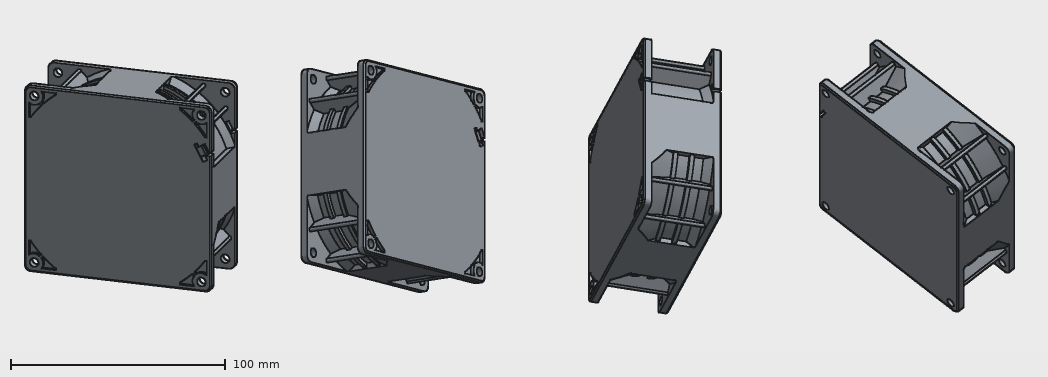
import cadquery as cq
import math

SIDE = 92.0
DEPTH = 38.0
HALF_SIDE = SIDE / 2
HALF_DEPTH = DEPTH / 2
FLANGE_THICKNESS = 4.05
CORNER_RADIUS = 3.0
EDGE_CHAMFER = 0.7
FRONT_INNER = -HALF_DEPTH + FLANGE_THICKNESS
BACK_INNER = HALF_DEPTH - FLANGE_THICKNESS

BAND_HALF_WIDTH = 14.9
DRUM_RADIUS = 45.8
FRONT_CONE_RADIUS = 51.5
BACK_CONE_RADIUS = 48.7
FRONT_CONE_TOP = -2.1
BACK_CONE_TOP = 10.8
RIB_RADIUS = 47.7
RIB_WIDTH = 2.1
RIB_FRONT_EDGES = (-4.1, 3.9)

FIN_THICKNESS = 1.6
FIN_BEAD_DIAMETER = 1.9
FIN_FAR = 43.3
FIN_NEAR = 30.6
FIN_LENGTH = 12.9
CABLE_FIN_X = 41.6
CABLE_FIN_Z = 33.4

HOLE_SPACING = 82.4
HOLE_DIAMETER = 4.2
POCKET_DEPTH = 1.8
POCKET_OUTER = 43.8
POCKET_INNER = 30.5
POCKET_DISC_RADIUS = 52.7
HOLE_BOSS_RADIUS = 4.4
DIAGONAL_WALL = 1.2

CABLE_ANGLE = 62.0
SEAT_X = 37.7
SEAT_Z = 26.3
SEAT_END = 9.1
UPPER_RAMP_END = 1.75
UPPER_RAMP_WIDTH = 1.4
LOWER_RAMP_START = 6.6
LOWER_RAMP_WIDTH = 2.4
RAMP_DEPTH = 1.4
SLOT_START = 1.7
SLOT_END = 6.4
SLOT_NEAR = 3.6
SLOT_FAR = 5.1
SLOT_CHAMFER = 0.7
BRIDGE_RECESS = 0.4
MOUTH_BOTTOM = 21.4
MOUTH_TOP = 23.2


def box(x_min, x_max, y_min, y_max, z_min, z_max):
    size = (x_max - x_min, y_max - y_min, z_max - z_min)
    return cq.Workplane("XY").box(*size, centered=False).translate((x_min, y_min, z_min))


def prism(points, y_min, y_max):
    """Polygon in X and Z, extruded along Y."""
    plane = cq.Workplane("XZ", origin=(0, y_min, 0))
    return plane.polyline(points).close().extrude(y_min - y_max)


def cylinder(radius, y_min, y_max, x=0, z=0):
    plane = cq.Workplane("XZ", origin=(0, y_min, 0))
    return plane.center(x, z).circle(radius).extrude(y_min - y_max)


def at_four_corners(solid):
    """Copies of a +X +Z corner solid, turned about Y."""
    copies = cq.Workplane("XY")
    for quarter in range(4):
        copies = copies.add(solid.rotate((0, 0, 0), (0, 1, 0), 90 * quarter).vals())
    return copies


def make_flange(y_min, outer_face):
    plate = box(-HALF_SIDE, HALF_SIDE, y_min, y_min + FLANGE_THICKNESS, -HALF_SIDE, HALF_SIDE)
    return plate.edges("|Y").fillet(CORNER_RADIUS).faces(outer_face).chamfer(EDGE_CHAMFER)


def make_drum():
    profile = [
        (0, FRONT_INNER),
        (FRONT_CONE_RADIUS, FRONT_INNER),
        (DRUM_RADIUS, FRONT_CONE_TOP),
        (DRUM_RADIUS, BACK_CONE_TOP),
        (BACK_CONE_RADIUS, BACK_INNER),
        (0, BACK_INNER),
    ]
    drum = cq.Workplane("XY").polyline(profile).close().revolve(360, (0, 0), (0, 1))
    for rib_front in RIB_FRONT_EDGES:
        drum = drum.union(cylinder(RIB_RADIUS, rib_front, rib_front + RIB_WIDTH))
    envelope = box(-HALF_SIDE, HALF_SIDE, FRONT_INNER, BACK_INNER, -HALF_SIDE, HALF_SIDE)
    return drum.intersect(envelope)


def make_cable_passage():
    """Clears the ribs and front cone below the cable-side fin of the +X +Z corner."""
    line_offset = CABLE_FIN_X - CABLE_FIN_Z
    outline = [
        (BAND_HALF_WIDTH + line_offset, BAND_HALF_WIDTH),
        (HALF_SIDE, BAND_HALF_WIDTH),
        (HALF_SIDE, HALF_SIDE - line_offset),
    ]
    passage = prism(outline, FRONT_INNER, BACK_CONE_TOP)
    return passage.cut(cylinder(DRUM_RADIUS, FRONT_INNER, BACK_CONE_TOP))


def make_bands():
    across = box(-HALF_SIDE, HALF_SIDE, FRONT_INNER, BACK_INNER, -BAND_HALF_WIDTH, BAND_HALF_WIDTH)
    return across.union(across.rotate((0, 0, 0), (0, 1, 0), 90))


def make_fin(x, z):
    """Diagonal plate running inwards from a round bead centred on (x, z)."""
    middle = FIN_LENGTH / 2 * math.sqrt(0.5)
    plate = box(
        -FIN_LENGTH / 2, FIN_LENGTH / 2, FRONT_INNER, BACK_INNER, -FIN_THICKNESS / 2, FIN_THICKNESS / 2
    )
    plate = plate.rotate((0, 0, 0), (0, 1, 0), -45).translate((x - middle, 0, z - middle))
    return plate.union(cylinder(FIN_BEAD_DIAMETER / 2, FRONT_INNER, BACK_INNER, x, z))


def make_corner_pockets():
    """Pair of pockets between the plate edges, the hole boss and the round duct wall."""
    floor = -HALF_DEPTH + POCKET_DEPTH
    hole_place = HOLE_SPACING / 2
    pockets = box(POCKET_INNER, POCKET_OUTER, -HALF_DEPTH, floor, POCKET_INNER, POCKET_OUTER)
    pockets = pockets.cut(cylinder(POCKET_DISC_RADIUS, -HALF_DEPTH, floor))
    pockets = pockets.cut(cylinder(HOLE_BOSS_RADIUS, -HALF_DEPTH, floor, hole_place, hole_place))
    corner = box(hole_place, POCKET_OUTER, -HALF_DEPTH, floor, hole_place, POCKET_OUTER)
    wall = cq.Workplane("XY").box(SIDE * 2, DEPTH * 2, DIAGONAL_WALL).rotate((0, 0, 0), (0, 1, 0), -45)
    return pockets.cut(corner).cut(wall)


def place_at_seat(solid):
    """Turns a solid so its X runs along the seat and its Z runs across it, towards the slot."""
    return solid.rotate((0, 0, 0), (0, 1, 0), CABLE_ANGLE).translate((SEAT_X, 0, SEAT_Z))


def make_ramp(start, end, width):
    """Wedge that is deepest at its start and meets the front face at its end."""
    face = -HALF_DEPTH
    outline = [(start, face), (end, face), (start, face + RAMP_DEPTH)]
    return cq.Workplane("XY").polyline(outline).close().extrude(width)


def make_cable_cuts():
    slot = box(SLOT_START, SLOT_END, -HALF_DEPTH, HALF_DEPTH, SLOT_NEAR, SLOT_FAR)
    bridge_top = -HALF_DEPTH + BRIDGE_RECESS
    bridge_outline = [
        (-HALF_DEPTH, 0),
        (bridge_top, 0),
        (bridge_top, SLOT_NEAR - SLOT_CHAMFER),
        (bridge_top + SLOT_CHAMFER, SLOT_NEAR),
        (-HALF_DEPTH, SLOT_NEAR),
    ]
    bridge = cq.Workplane("YZ", origin=(UPPER_RAMP_END, 0, 0)).polyline(bridge_outline).close()
    seat = [
        slot,
        bridge.extrude(LOWER_RAMP_START - UPPER_RAMP_END),
        make_ramp(0, UPPER_RAMP_END, UPPER_RAMP_WIDTH),
        make_ramp(LOWER_RAMP_START, SEAT_END, LOWER_RAMP_WIDTH),
    ]
    angle = math.radians(CABLE_ANGLE)
    mouth_start = SEAT_X + SLOT_END * math.cos(angle) + SLOT_NEAR * math.sin(angle)
    mouth = box(mouth_start, HALF_SIDE, -HALF_DEPTH, HALF_DEPTH, MOUTH_BOTTOM, MOUTH_TOP)
    return [place_at_seat(solid) for solid in seat] + [mouth]


result = make_drum().cut(make_cable_passage()).union(make_bands())
result = result.union(make_flange(-HALF_DEPTH, "<Y")).union(make_flange(BACK_INNER, ">Y"))

fins = at_four_corners(make_fin(FIN_NEAR, FIN_FAR)).vals()
fins += at_four_corners(make_fin(FIN_FAR, FIN_NEAR)).vals()[1:]
fins += make_fin(CABLE_FIN_X, CABLE_FIN_Z).vals()
for fin in fins:
    result = result.union(cq.Workplane(fin))

hole = cylinder(HOLE_DIAMETER / 2, -HALF_DEPTH, HALF_DEPTH, HOLE_SPACING / 2, HOLE_SPACING / 2)
for corner_hole in at_four_corners(hole).vals():
    result = result.cut(cq.Workplane(corner_hole))

for corner_pockets in at_four_corners(make_corner_pockets()).vals():
    result = result.cut(cq.Workplane(corner_pockets))

for cable_cut in make_cable_cuts():
    result = result.cut(cable_cut)